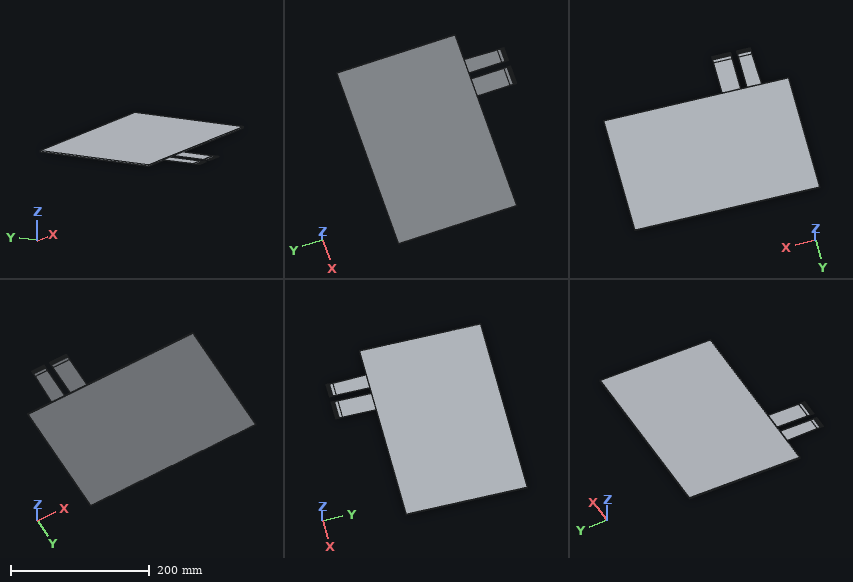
import cadquery as cq

panel_length = 275.0
panel_width = 180.0
panel_thickness = 2.35

tail_reach = 60.0
tail_thickness = 0.15
tail_bottom = 1.15
tail_top = tail_bottom + tail_thickness
narrow_tail_root_left = 39.8
narrow_tail_tip_left = 41.45
narrow_tail_right = 62.0
wide_tail_left = 71.0
wide_tail_right = 99.0

stiffener_length = 10.0
stiffener_thickness = 0.2

contact_length = 5.0
contact_thickness = 0.05
contact_pitch = 0.5
contact_width = 0.3


def block(left, right, front, back, bottom, top):
    """Axis-aligned box between the given limits."""
    size = (right - left, back - front, top - bottom)
    return cq.Workplane("XY").box(*size, centered=False).translate((left, front, bottom))


def make_tail_film(root_left, tip_left, right):
    """Flat film that may taper up to the stiffener; it stops where the contacts begin."""
    taper_end = stiffener_length - tail_reach
    film_front = contact_length - tail_reach
    outline = [
        (root_left, 0),
        (tip_left, taper_end),
        (tip_left, film_front),
        (right, film_front),
        (right, 0),
    ]
    return cq.Workplane("XY").workplane(offset=tail_bottom).polyline(outline).close().extrude(tail_thickness)


def make_stiffener(left, right):
    """Thin pad on top of the tail tip, overhanging the end of the film."""
    return block(
        left, right, -tail_reach, stiffener_length - tail_reach, tail_top, tail_top + stiffener_thickness
    )


def make_contacts(left, right):
    """Row of parallel fingers on the underside of the stiffener, centred across its width."""
    count = int((right - left) / contact_pitch)
    first_center = (left + right - (count - 1) * contact_pitch) / 2
    positions = [
        (first_center + i * contact_pitch, contact_length / 2 - tail_reach) for i in range(count)
    ]
    return (
        cq.Workplane("XY")
        .workplane(offset=tail_top - contact_thickness)
        .pushPoints(positions)
        .rect(contact_width, contact_length)
        .extrude(contact_thickness)
    )


def make_tail(root_left, tip_left, right):
    """Complete tail: film, stiffener and contacts."""
    film = make_tail_film(root_left, tip_left, right)
    return film.union(make_stiffener(tip_left, right)).union(make_contacts(tip_left, right))


def make_panel():
    """Plain rectangular sheet with its front left corner at the origin."""
    return block(0, panel_length, 0, panel_width, 0, panel_thickness)


narrow_tail = make_tail(narrow_tail_root_left, narrow_tail_tip_left, narrow_tail_right)
wide_tail = make_tail(wide_tail_left, wide_tail_left, wide_tail_right)
result = make_panel().union(narrow_tail).union(wide_tail)